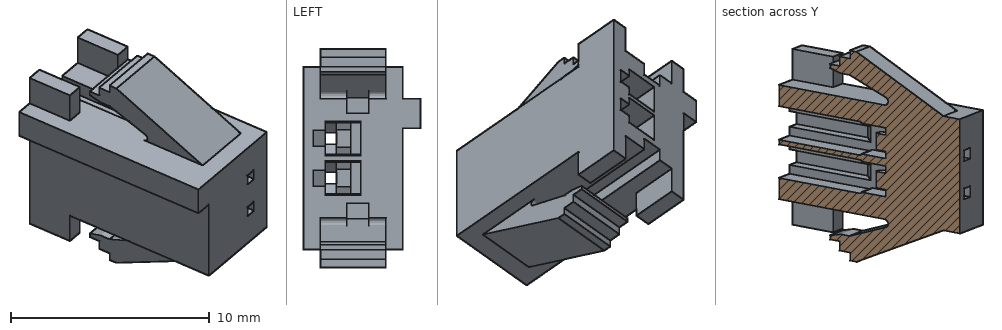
import cadquery as cq
import math

length = 11.1
body_width = 5.01
body_half_height = 3
rail_width = 0.9
rail_height = 1.5

post_length = 2.5
post_half_height = 4.6

latch_width = 3.3
latch_half_height = 11.0 / 2
tip_x = 3.12
tip_bottom_z = 4.36
first_step_x = 3.7
first_step_z = 5.08
second_step_x = 4.34
crest_x = 4.76
root_x = 10.1
underside_flat_start_x = 3.79
underside_flat_z = 4.2
underside_angle = math.radians(20.2)
root_radius = 0.2

slot_width = 1.11
slot_center_y = -0.24
slot_depth = 0.74
slot_end_x = 7.5

cavity_pitch = 2
mouth_left_y = 1.39
mouth_right_y = -0.39
mouth_height = 1.73
inner_height = 1.58
key_left_y = 2
key_height = 0.81
key_ramp_angle = math.radians(45)
narrowing_x = 5
shoulder_x = 5.55
shoulder_y = 0.11
shoulder_angle = math.radians(51)
throat_angle = math.radians(32.5)
lance_height = 0.89
lance_radius = 0.3
pin_hole_width = 0.54
pin_hole_height = 0.57
funnel_angle = math.radians(41)
cavity_end_x = 9.99


def block(x_range, y_range, z_range):
    """Axis-aligned box spanning the given ranges."""
    size = [high - low for low, high in (x_range, y_range, z_range)]
    corner = (x_range[0], y_range[0], z_range[0])
    return cq.Workplane("XY").box(*size, centered=False).translate(corner)


def housing():
    """Body with its side rail and the four mouth posts, which flank the latch width."""
    half_width = body_width / 2
    body = block((0, length), (-half_width, half_width), (-body_half_height, body_half_height))
    rail = block(
        (0, length),
        (-half_width - rail_width, -half_width),
        (body_half_height - rail_height, body_half_height),
    )
    body = body.union(rail)
    for inner_y, outer_y in ((latch_width / 2, half_width), (-half_width, -latch_width / 2)):
        posts = block((0, post_length), (inner_y, outer_y), (-post_half_height, post_half_height))
        body = body.union(posts)
    return body


def underside_z(x):
    """Height of the sloping latch underside at x."""
    return underside_flat_z - (x - second_step_x) * math.tan(underside_angle)


def latch():
    """Upper latch arm: stepped tip, sloping back and rounded crotch at its root."""
    arc_z = body_half_height + root_radius
    slope_end_z = arc_z + root_radius * math.cos(underside_angle)
    slope_end_x = second_step_x + (underside_flat_z - slope_end_z) / math.tan(underside_angle)
    arc_x = slope_end_x - root_radius * math.sin(underside_angle)
    profile = (
        cq.Workplane("XZ", origin=(0, latch_width / 2, 0))
        .moveTo(tip_x, tip_bottom_z)
        .lineTo(tip_x, post_half_height)
        .lineTo(first_step_x, post_half_height)
        .lineTo(first_step_x, first_step_z)
        .lineTo(second_step_x, first_step_z)
        .lineTo(second_step_x, latch_half_height)
        .lineTo(crest_x, latch_half_height)
        .lineTo(root_x, body_half_height)
        .lineTo(arc_x, body_half_height)
        .threePointArc((arc_x + root_radius, arc_z), (slope_end_x, slope_end_z))
        .lineTo(second_step_x, underside_flat_z)
        .lineTo(underside_flat_start_x, underside_flat_z)
        .close()
    )
    return profile.extrude(latch_width)


def latch_slot():
    """Slot from the mouth to beneath the upper latch, its roof following the latch underside."""
    floor_z = body_half_height - slot_depth
    return (
        cq.Workplane("XZ", origin=(0, slot_center_y + slot_width / 2, 0))
        .moveTo(0, floor_z)
        .lineTo(slot_end_x, floor_z)
        .lineTo(slot_end_x, underside_z(slot_end_x))
        .lineTo(second_step_x, underside_flat_z)
        .lineTo(0, underside_flat_z)
        .close()
        .extrude(slot_width)
    )


def contact_cavity():
    """Contact passage centred on z = 0, opening at x = 0 and ending in a pin hole at the rear."""
    mouth_width = mouth_left_y - mouth_right_y
    narrowing = (mouth_height - inner_height) / 2
    mouth = (
        cq.Workplane("XZ", origin=(0, mouth_left_y, 0))
        .moveTo(0, -mouth_height / 2)
        .lineTo(narrowing_x, -mouth_height / 2)
        .lineTo(narrowing_x + narrowing, -inner_height / 2)
        .lineTo(narrowing_x + narrowing, inner_height / 2)
        .lineTo(narrowing_x, mouth_height / 2)
        .lineTo(0, mouth_height / 2)
        .close()
        .extrude(mouth_width)
    )

    key_ramp_length = (key_left_y - mouth_left_y) / math.tan(key_ramp_angle)
    key = (
        cq.Workplane("XY", origin=(0, 0, -key_height / 2))
        .moveTo(0, mouth_left_y)
        .lineTo(0, key_left_y)
        .lineTo(narrowing_x - key_ramp_length, key_left_y)
        .lineTo(narrowing_x, mouth_left_y)
        .close()
        .extrude(key_height)
    )

    throat_y = mouth_left_y - pin_hole_width
    shoulder_end_x = shoulder_x + (shoulder_y - mouth_right_y) / math.tan(shoulder_angle)
    throat_end_x = shoulder_end_x + (throat_y - shoulder_y) / math.tan(throat_angle)
    passage = (
        cq.Workplane("XY", origin=(0, 0, -inner_height / 2))
        .moveTo(narrowing_x, mouth_left_y)
        .lineTo(cavity_end_x, mouth_left_y)
        .lineTo(cavity_end_x, throat_y)
        .lineTo(throat_end_x, throat_y)
        .lineTo(shoulder_end_x, shoulder_y)
        .lineTo(shoulder_x, mouth_right_y)
        .lineTo(narrowing_x, mouth_right_y)
        .close()
        .extrude(inner_height)
    )

    lance = (
        block((shoulder_end_x, throat_end_x), (shoulder_y, throat_y), (-lance_height / 2, lance_height / 2))
        .edges("|Z and <X and >Y")
        .fillet(lance_radius)
    )

    funnel_step = (inner_height - pin_hole_height) / 2
    funnel_end_x = cavity_end_x + funnel_step / math.tan(funnel_angle)
    funnel = (
        cq.Workplane("XZ", origin=(0, mouth_left_y, 0))
        .moveTo(cavity_end_x, -inner_height / 2)
        .lineTo(funnel_end_x, -pin_hole_height / 2)
        .lineTo(length, -pin_hole_height / 2)
        .lineTo(length, pin_hole_height / 2)
        .lineTo(funnel_end_x, pin_hole_height / 2)
        .lineTo(cavity_end_x, inner_height / 2)
        .close()
        .extrude(pin_hole_width)
    )
    return mouth.union(key).union(passage).union(funnel).cut(lance)


upper_latch = latch()
upper_slot = latch_slot()
result = housing().union(upper_latch).union(upper_latch.mirror("XY"))
result = result.cut(upper_slot).cut(upper_slot.mirror("XY"))
for side in (-1, 1):
    result = result.cut(contact_cavity().translate((0, 0, side * cavity_pitch / 2)))